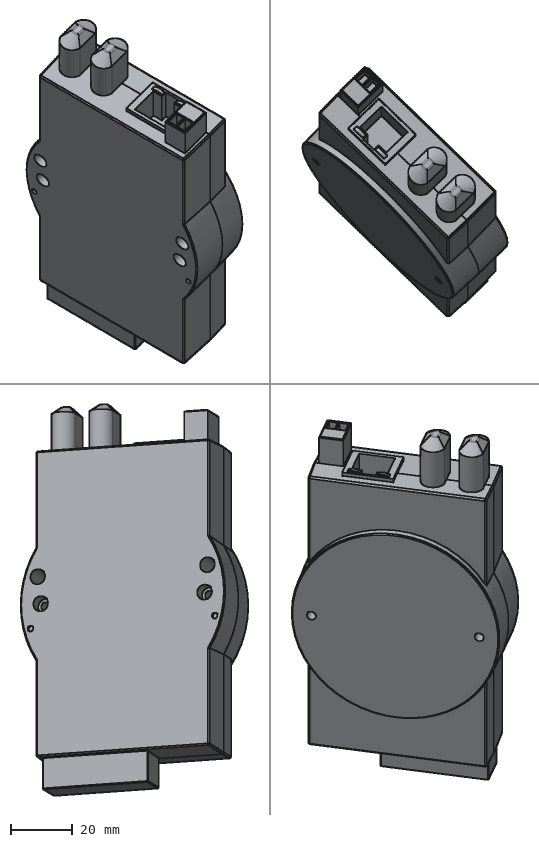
import cadquery as cq
import math

case_width = 60.0
case_height = 102.0
flange_radius = 35.0
front_depth = 13.6
back_depth = 8.8
flange_back_depth = 11.4
draft = 1.5
front_chamfer = 0.5
back_chamfer = 0.6
corner_chamfer = 0.5
flange_chamfer = 0.4
case_top = case_height / 2

through_x = 28.0
through_diameter = 3.0
counterbore_diameter = 5.0
counterbore_depth = 5.0
blind_x = 29.0
blind_z = 9.0
blind_diameter = 5.0
dimple_x = 31.5
dimple_z = -8.0
dimple_diameter = 1.9
dimple_depth = 1.0

plug_depth = 11.2
plug_chamfer = 0.35
plug_root = 2.0
plug_outer_x = 28.3

terminal_width = 8.1
terminal_top = 61.0
wire_port_width = 2.9
wire_port_depth_y = 4.2
wire_port_pitch = 3.6
wire_port_y = -8.3
wire_port_length = 6.0
wire_port_bevel = 0.3

bottom_plug_width = 36.2
bottom_plug_length = 10.0

jack_width = 17.0
jack_depth = 14.0
jack_x = 10.65
jack_y = -1.4
jack_rise = 1.15
jack_base = 16.0
opening_width = 12.0
opening_back_y = 2.7
opening_front_y = -7.1
latch_width = 5.0
latch_back_y = 4.8
opening_depth = 12.0
led_width = 4.2
led_depth = 1.5
led_rise = 0.5
led_spacing = 9.8
led_y = 3.9

cap_centres_x = (-23.1, -10.2)
cap_y = -1.4
cap_width = 8.0
cap_length = 14.3
cap_end_bulge = 3.1
cap_shoulder = 64.2
cap_top = 67.0
cap_seat = 1.0
tip_width = 2.6
tip_length = 3.6
tip_end_bulge = 0.4
tip_rounding = 0.9

front_plane = cq.Plane(origin=(0, 0, 0), xDir=(1, 0, 0), normal=(0, -1, 0))
back_plane = cq.Plane(origin=(0, 0, 0), xDir=(-1, 0, 0), normal=(0, 1, 0))


def block(x_min, x_max, y_min, y_max, z_min, z_max):
    """Box given by its limits along each axis."""
    size = (x_max - x_min, y_max - y_min, z_max - z_min)
    return cq.Workplane("XY").box(*size, centered=False).translate((x_min, y_min, z_min))


def ear_pins(x, z, diameter, length, taper=0):
    """Mirrored pair of pins, running back from the front face, to cut holes with."""
    entry = cq.Plane(origin=(0, -front_depth, 0), xDir=(-1, 0, 0), normal=(0, 1, 0))
    points = [(-x, z), (x, z)]
    return cq.Workplane(entry).pushPoints(points).circle(diameter / 2).extrude(length, taper=taper)


def cap_outline(z, width, length, bulge):
    """Outline with two flat sides and bowed ends, lying at height z."""
    half_width = width / 2
    half_flat = length / 2 - bulge
    return (
        cq.Workplane("XY", origin=(0, 0, z))
        .moveTo(-half_width, -half_flat)
        .threePointArc((0, -length / 2), (half_width, -half_flat))
        .lineTo(half_width, half_flat)
        .threePointArc((0, length / 2), (-half_width, half_flat))
        .close()
    )


def make_cap(x):
    """Dust cap with a tapered, rounded tip."""
    body_section = (cap_width, cap_length, cap_end_bulge)
    base_z = case_top - cap_seat
    body = cap_outline(base_z, *body_section).extrude(cap_shoulder - base_z)
    shoulder = cap_outline(cap_shoulder, *body_section).wires().val()
    summit = cap_outline(cap_top, tip_width, tip_length, tip_end_bulge).wires().val()
    tip = cq.Workplane(obj=cq.Solid.makeLoft([shoulder, summit], True))
    tip = tip.faces(">Z").edges().fillet(tip_rounding)
    return body.union(tip).translate((x, cap_y, 0))


def make_terminal_plug():
    """Two-pole terminal plug on the top of the case."""
    x_min = plug_outer_x - terminal_width
    plug = block(x_min, plug_outer_x, -plug_depth, 0, case_top - plug_root, terminal_top)
    plug = plug.faces(">Z").chamfer(plug_chamfer)
    centre_x = plug_outer_x - terminal_width / 2
    for side in (-1, 1):
        x = centre_x + side * wire_port_pitch / 2
        mouth = cq.Workplane("XY", origin=(x, wire_port_y, terminal_top))
        port = mouth.rect(wire_port_width, wire_port_depth_y).extrude(-wire_port_length)
        funnel = (
            mouth.rect(wire_port_width + 2 * wire_port_bevel, wire_port_depth_y + 2 * wire_port_bevel)
            .workplane(offset=-wire_port_bevel)
            .rect(wire_port_width, wire_port_depth_y)
            .loft(combine=True)
        )
        plug = plug.cut(port).cut(funnel)
    return plug


def make_bottom_plug():
    """Wide plug on the underside of the case."""
    x_min = -plug_outer_x
    z_min = -case_top - bottom_plug_length
    z_max = -case_top + plug_root
    plug = block(x_min, x_min + bottom_plug_width, -plug_depth, 0, z_min, z_max)
    return plug.edges("|Z or <Z").chamfer(plug_chamfer)


def make_jack_block():
    """Plain envelope of the network jack."""
    x_min = jack_x - jack_width / 2
    y_min = jack_y - jack_depth / 2
    z_min = case_top - jack_base
    return block(x_min, x_min + jack_width, y_min, y_min + jack_depth, z_min, case_top + jack_rise)


def make_led(x):
    """Low domed light bar on the face of the jack."""
    face = case_top + jack_rise
    plane = cq.Plane(origin=(x, led_y + led_depth / 2, face), xDir=(1, 0, 0), normal=(0, -1, 0))
    profile = cq.Workplane(plane).moveTo(-led_width / 2, 0)
    profile = profile.threePointArc((0, led_rise), (led_width / 2, 0)).close()
    return profile.extrude(led_depth)


def make_jack():
    """Network jack with a plug opening, a latch notch and two light bars."""
    face = case_top + jack_rise
    jack = make_jack_block()
    for width, back_y in ((opening_width, opening_back_y), (latch_width, latch_back_y)):
        half = width / 2
        jack = jack.cut(block(jack_x - half, jack_x + half, opening_front_y, back_y,
                              face - opening_depth, face))
    for side in (-1, 1):
        jack = jack.union(make_led(jack_x + side * led_spacing / 2))
    return jack


def make_case_half(plane, depth, face_chamfer):
    """Drafted rectangular half of the case with bevelled corners and face rim."""
    half = cq.Workplane(plane).rect(case_width, case_height).extrude(depth, taper=draft)
    half = half.edges("not #Y").chamfer(corner_chamfer)
    outer_face = half.faces(cq.selectors.DirectionMinMaxSelector(plane.zDir))
    return outer_face.chamfer(face_chamfer)


def make_front_shell():
    """Front half of the case, carrying the plugs and the network jack."""
    shell = make_case_half(front_plane, front_depth, front_chamfer)
    flange = cq.Workplane(front_plane).circle(flange_radius).extrude(front_depth)
    shell = shell.union(flange.faces("<Y").chamfer(flange_chamfer))
    shell = shell.cut(ear_pins(through_x, 0, counterbore_diameter, counterbore_depth))
    shell = shell.cut(ear_pins(through_x, 0, through_diameter, front_depth))
    shell = shell.cut(ear_pins(blind_x, blind_z, blind_diameter, front_depth, draft))
    shell = shell.cut(ear_pins(dimple_x, dimple_z, dimple_diameter, dimple_depth))
    shell = shell.union(make_terminal_plug()).union(make_bottom_plug())
    return shell.cut(make_jack_block()).union(make_jack())


def make_back_flange():
    """Drafted round disc with a bevelled rim, turned about the Y axis."""
    back_radius = flange_radius - flange_back_depth * math.tan(math.radians(draft))
    bevel_y = flange_back_depth - flange_chamfer
    profile = [
        (0, 0),
        (flange_radius, 0),
        (back_radius, bevel_y),
        (back_radius - flange_chamfer, flange_back_depth),
        (0, flange_back_depth),
    ]
    return cq.Workplane("XY").polyline(profile).close().revolve(360, (0, 0, 0), (0, 1, 0))


def make_back_shell():
    """Back half of the case, with the round mounting flange standing proud of it."""
    shell = make_case_half(back_plane, back_depth, back_chamfer)
    shell = shell.union(make_back_flange())
    shell = shell.cut(ear_pins(through_x, 0, through_diameter, front_depth + flange_back_depth))
    return shell.cut(make_jack_block())


caps = [make_cap(x) for x in cap_centres_x]
front_shell = make_front_shell()
back_shell = make_back_shell()
for cap in caps:
    front_shell = front_shell.cut(cap)
    back_shell = back_shell.cut(cap)

result = cq.Compound.makeCompound([
    front_shell.solids().val(),
    back_shell.solids().val(),
    *[cap.solids().val() for cap in caps],
])